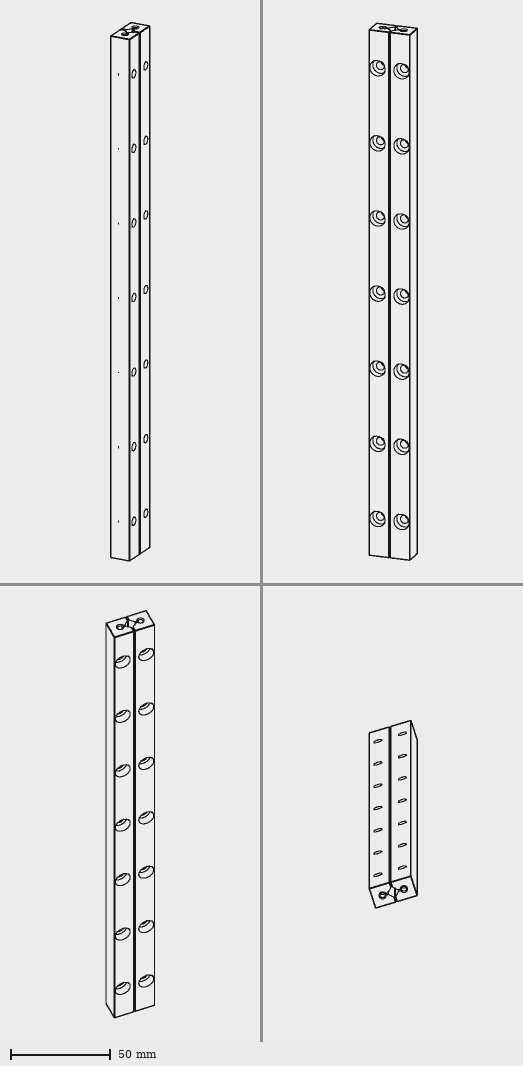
import cadquery as cq

LENGTH = 280.0
WIDTH_X = 11.0
PAIR_WIDTH_Y = 22.0
RAIL_GAP = 0.5

RACEWAY_APEX = 3.0
RELIEF_WIDTH = 0.8
RELIEF_BOTTOM = 3.5

HOLE_COUNT = 7
HOLE_PITCH = LENGTH / HOLE_COUNT
HOLE_OFFSET_Y = 6.5
HOLE_DIAMETER = 4.2
COUNTERBORE_DIAMETER = 8.0
COUNTERBORE_DEPTH = 4.2

END_HOLE_DIAMETER = 2.5
END_HOLE_MOUTH_DIAMETER = 3.5
END_HOLE_OFFSET_Y = 5.5
END_HOLE_DEPTH = 6.0
DRILL_POINT_DEPTH = 0.8

EDGE_CHAMFER = 0.3


def rail_blank():
    """Plain bar on the +Y side, with all its edges chamfered."""
    inner_y = RAIL_GAP / 2
    depth_y = PAIR_WIDTH_Y / 2 - inner_y
    blank = cq.Workplane("XY").box(WIDTH_X, depth_y, LENGTH).translate((0, inner_y + depth_y / 2, 0))
    return blank.edges().chamfer(EDGE_CHAMFER)


def raceway_cutter():
    """V groove and relief slot over the full length of the rail."""
    half_slot = RELIEF_WIDTH / 2
    slot_top = RACEWAY_APEX - half_slot
    return (
        cq.Workplane("XY")
        .polyline([
            (-RACEWAY_APEX, 0),
            (-half_slot, slot_top),
            (-half_slot, RELIEF_BOTTOM),
            (half_slot, RELIEF_BOTTOM),
            (half_slot, slot_top),
            (RACEWAY_APEX, 0),
        ])
        .close()
        .extrude(LENGTH / 2, both=True)
    )


def mounting_hole_cutter(z):
    """Through hole along X with a counterbore on the -X side."""
    start = cq.Vector(-WIDTH_X / 2, HOLE_OFFSET_Y, z)
    along_x = cq.Vector(1, 0, 0)
    hole = cq.Solid.makeCylinder(HOLE_DIAMETER / 2, WIDTH_X, start, along_x)
    counterbore = cq.Solid.makeCylinder(COUNTERBORE_DIAMETER / 2, COUNTERBORE_DEPTH, start, along_x)
    return hole.fuse(counterbore)


def end_hole_cutter(end):
    """Countersunk, drill-pointed blind hole in one end: end is +1 for the top and -1 for the bottom."""
    start = cq.Vector(0, END_HOLE_OFFSET_Y, end * LENGTH / 2)
    inward = cq.Vector(0, 0, -end)
    radius = END_HOLE_DIAMETER / 2
    mouth_radius = END_HOLE_MOUTH_DIAMETER / 2
    hole = cq.Solid.makeCylinder(radius, END_HOLE_DEPTH, start, inward)
    countersink = cq.Solid.makeCone(mouth_radius, radius, mouth_radius - radius, start, inward)
    point = cq.Solid.makeCone(radius, 0, DRILL_POINT_DEPTH, start + inward * END_HOLE_DEPTH, inward)
    return hole.fuse(countersink, point)


def make_rail():
    """Complete rail on the +Y side of the pair."""
    rail = rail_blank().cut(raceway_cutter())
    for index in range(HOLE_COUNT):
        z = (index - (HOLE_COUNT - 1) / 2) * HOLE_PITCH
        rail = rail.cut(mounting_hole_cutter(z))
    for end in (1, -1):
        rail = rail.cut(end_hole_cutter(end))
    return rail


rails = []
for mirrored in (False, True):
    rail = make_rail()
    if mirrored:
        rail = rail.mirror("XZ")
    rails.append(rail.val())

result = cq.Compound.makeCompound(rails)